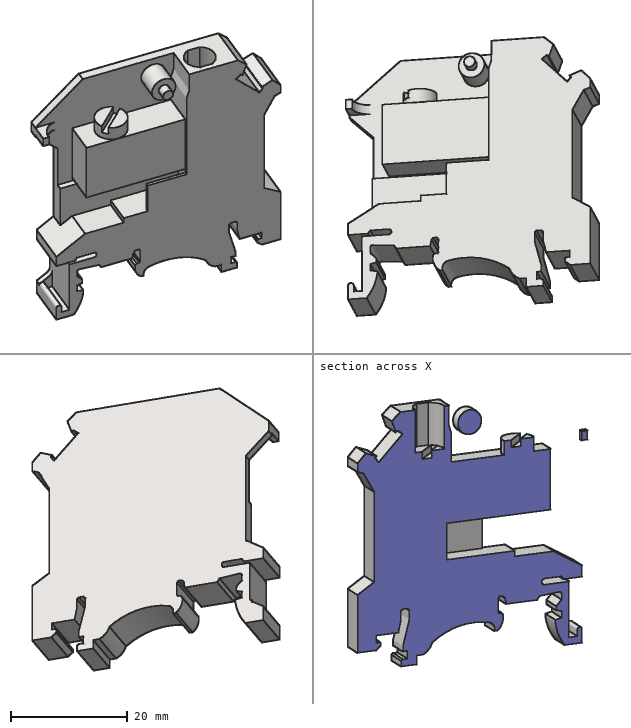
import cadquery as cq
width = 8.15
depth = 43.55
height = 45.9

foot_front = 1.0
waist_front = 4.2
waist_back = 40.45
shoulder_bottom = 15.9
shoulder_tip = 13.95
leg_front = 3.5
arm_top = 11.45
rail_seat = 8.75
notch_top = 10.3
notch_shoulder = 9.95
notch_inner = 33.8
notch_outer = 35.3
tongue_back = 16.9
tongue_front = 15.95
tongue_bottom = 4.18
hook_bottom = 3.5
hook_seat = 6.15
hook_shelf = 4.95
middle_foot_neck = 34.15
middle_foot_groove_bottom = 1.35
middle_foot_groove_top = 2.65
middle_foot_front = 32.3
middle_foot_top = 1.6
leg_back = 4.95
upper_tooth = 5.95
lower_tooth = 6.15
slit_top = 12.45
slit_end = 8.65
foot_overhang = 11.9
top_front = 9.0
top_back = 35.45
nose_bottom = 36.12
nose_top = 38.15
nose_root = 32.1

plate = 1.7
chamber_right = 7.6
ledge = 2.8
ledge_top = 24.05
chamber_back = 25.7
tower_front = 26.2
tower_bottom = 42.35
chamfer_bottom = 40.75
chamber_floor = 18.2
sill_front = 6.45
floor_step_y = 13.75
wall_step_y = 18.3
wall_step_z = 23.9
pocket_back = 26.6

clamp_front = 6.98
clamp_bottom = 24.7
clamp_top = 35.7
screw_x = 4.65
screw_radius = 2.9
screw_top = 38.25
screw_slot_width = 1.2
screw_slot_depth = 1.35
screw_slot_angle = -45
front_screw_y = 13.0
back_screw_y = 29.85
well_radius = 2.75
well_width = 5.05

tab_right = 4.95
tab_bottom = 36.45
guide_radius = 3.0
guide_y = 4.1

peg_y = 22.3
peg_z = 42.4
peg_radius = 2.25
peg_end = 6.15
pin_radius = 0.95
pin_end = 7.95

foot_rib = 1.1
foot_slope_bottom = 2.65
leg_fillet_top = 4.8
lip_top = 3.0
lip_radius = 0.5
groove_floor = 1.38


def box(x0, x1, y0, y1, z0, z1):
    """Box given by its limits along each axis."""
    return cq.Workplane("XY").box(x1 - x0, y1 - y0, z1 - z0, centered=False).translate((x0, y0, z0))


def along_x(profile, x0, x1):
    """Extrude a closed (Y, Z) profile from x0 to x1."""
    return profile.extrude(x1 - x0).translate((x0, 0, 0))


def through(path, points):
    """Continue an outline with straight lines through the points."""
    for point in points:
        path = path.lineTo(*point)
    return path


def housing_outline():
    """Side outline of the housing, starting at the top front corner."""
    path = cq.Workplane("YZ").moveTo(top_front, height)
    path = through(path, [
        (top_back, height), (37.1, 44.45), (36.3, 42.27), (35.95, 42.55), (35.05, 41.85),
        (39.5, 37.35), (40.15, 38.2), (39.9, 38.45), (42.0, 39.3), (depth, 37.65),
    ])
    path = through(path, [
        (depth, 36.05), (42.4, 35.6), (waist_back, 32.15), (waist_back, shoulder_bottom),
        (depth, shoulder_tip), (depth, hook_bottom), (40.02, hook_bottom),
    ])
    path = through(path, [
        (39.1, 4.2), (39.1, 4.75), (39.3, hook_shelf), (39.95, hook_shelf), (39.95, hook_seat),
        (35.75, hook_seat),
    ])
    path = through(path, [
        (notch_outer, 8.3), (notch_outer, notch_shoulder), (34.98, notch_top), (34.1, notch_top),
        (notch_inner, notch_shoulder), (notch_inner, 8.3), (34.98, 3.7),
    ])
    path = through(path, [
        (34.98, middle_foot_groove_top), (middle_foot_neck, middle_foot_groove_top),
        (middle_foot_neck, middle_foot_groove_bottom), (34.98, middle_foot_groove_bottom),
        (notch_outer, 1.05), (notch_outer, 0.0), (middle_foot_front, 0.0),
        (middle_foot_front, middle_foot_top), (31.15, middle_foot_top),
    ])
    path = path.threePointArc((30.15, 2.3), (29.35, 3.63))
    path = path.threePointArc((24.0, 5.95), (18.55, 5.85))
    path = path.threePointArc((17.8, 5.3), (17.63, tongue_bottom))
    path = path.lineTo(17.07, tongue_bottom)
    path = path.threePointArc((16.3, 5.05), (tongue_front, 6.15))
    path = through(path, [(tongue_front, 6.98), (16.25, 7.35), (16.7, 7.35), (tongue_back, 7.6)])
    path = through(path, [
        (tongue_back, notch_shoulder), (16.6, notch_top), (16.0, notch_top),
        (15.7, notch_shoulder), (15.4, rail_seat), (9.5, rail_seat), (9.1, 9.4), (5.5, 9.7),
    ])
    path = path.threePointArc((5.05, 9.55), (leg_back, 9.2))
    path = through(path, [
        (leg_back, 8.3), (upper_tooth, 7.25), (upper_tooth, 6.45), (leg_back, 6.2),
        (leg_back, 5.05), (lower_tooth, 4.8), (lower_tooth, 4.3),
    ])
    path = path.threePointArc((5.5, 1.97), (4.3, 0.0))
    path = through(path, [
        (foot_front, 0.0), (foot_front, foot_slope_bottom), (2.9, 3.8),
    ])
    path = path.tangentArcPoint((leg_front, leg_fillet_top), relative=False)
    path = path.lineTo(leg_front, arm_top)
    path = path.lineTo(8.12, arm_top)
    path = path.threePointArc((slit_end, (arm_top + slit_top) / 2), (8.12, slit_top))
    path = through(path, [(4.95, slit_top), (4.55, foot_overhang), (foot_front, foot_overhang)])
    path = through(path, [
        (foot_front, shoulder_tip), (waist_front, shoulder_bottom), (waist_front, nose_root),
        (0.0, nose_bottom), (0.0, nose_top),
    ])
    return path.close()


def chamber_space():
    """Open space in front of the tower, to the right of the side plate."""
    sill_slope = (shoulder_bottom - shoulder_tip) / (waist_front - foot_front)
    sill_top = shoulder_bottom + sill_slope * (sill_front - waist_front)
    outside = 0.45
    profile = cq.Workplane("YZ").polyline([
        (tower_front, height + outside), (tower_front, tower_bottom), (chamber_back, chamfer_bottom),
        (chamber_back, wall_step_z), (wall_step_y, wall_step_z), (wall_step_y, chamber_floor),
        (floor_step_y, chamber_floor), (floor_step_y, sill_top), (sill_front, sill_top),
        (waist_front, shoulder_bottom), (-outside, shoulder_bottom), (-outside, height + outside),
    ]).close()
    return along_x(profile, plate, width)


def foot_groove():
    """Space above and behind the lip of the foot, beside the end rib."""
    return box(foot_rib, width, foot_front, leg_front, groove_floor, leg_fillet_top)


def foot_lip():
    """Upright lip with a round top along the front of the groove."""
    crown_z = lip_top - lip_radius
    lip = box(foot_rib, width, foot_front, foot_front + 2 * lip_radius, groove_floor, crown_z)
    crown = cq.Workplane("YZ").center(foot_front + lip_radius, crown_z).circle(lip_radius)
    return lip.union(along_x(crown, foot_rib, width))


def screw_slot(y):
    """Diagonal driver slot in a screw head."""
    slot = box(-screw_radius, screw_radius, -screw_slot_width / 2, screw_slot_width / 2,
               -screw_slot_depth, 0)
    return slot.rotate((0, 0, 0), (0, 0, 1), screw_slot_angle).translate((screw_x, y, screw_top))


def screw_well():
    """Round well with two flat sides, down to the back screw head."""
    well = cq.Workplane("XY").circle(well_radius).extrude(height - screw_top)
    well = well.intersect(box(-well_width / 2, well_width / 2, -well_radius, well_radius,
                              0, height - screw_top))
    return well.translate((screw_x, back_screw_y, screw_top))


def wire_guide_tab():
    """Tab on the nose, hollowed by the round wire guide."""
    tab = box(plate, tab_right, 0, guide_y, tab_bottom, nose_top)
    guide = cq.Workplane("XY").circle(guide_radius).extrude(height)
    return tab.cut(guide.translate((screw_x, guide_y, 0)))


def x_cylinder(radius, x1):
    """Cylinder on the peg axis, from the middle of the plate to x1."""
    profile = cq.Workplane("YZ").center(peg_y, peg_z).circle(radius)
    return along_x(profile, plate / 2, x1)


body = along_x(housing_outline(), 0, width).cut(chamber_space())
body = body.cut(box(plate, chamber_right, floor_step_y, pocket_back, chamber_floor, clamp_top))
body = body.union(box(plate, ledge, waist_front, pocket_back, shoulder_bottom, ledge_top))
body = body.cut(foot_groove()).union(foot_lip())

clamp = box(plate, chamber_right, clamp_front, pocket_back, clamp_bottom, clamp_top)
screw = cq.Workplane("XY").circle(screw_radius).extrude(screw_top - clamp_top)
screw = screw.translate((screw_x, front_screw_y, clamp_top))
body = body.union(clamp).union(screw)

body = body.union(wire_guide_tab())
body = body.union(x_cylinder(peg_radius, peg_end)).union(x_cylinder(pin_radius, pin_end))

body = body.cut(screw_well())
for slot_y in (front_screw_y, back_screw_y):
    body = body.cut(screw_slot(slot_y))

result = body